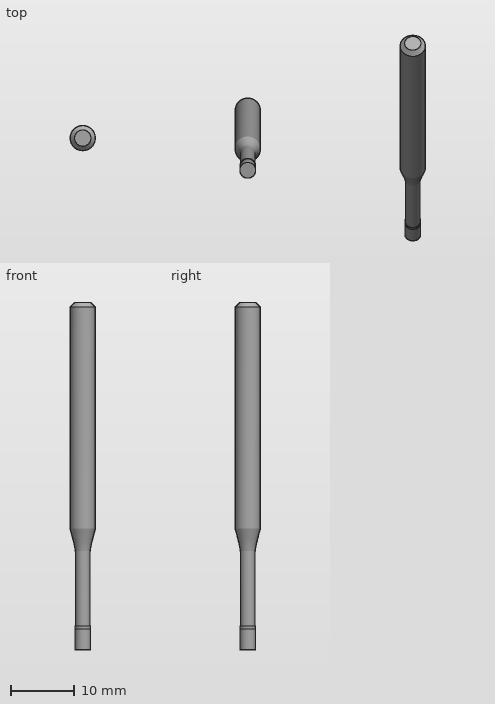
import cadquery as cq
import math

total_length = 55.0
shank_diameter = 4.0
end_chamfer = 0.7

taper_start = 15.55
blend_radius = 13.2
blend_start_angle = math.radians(7)
cone_angle = math.radians(15)

neck_diameter = 2.35
head_diameter = 2.55
head_top = 3.75
cutter_length = 3.3

shank_radius = shank_diameter / 2
neck_radius = neck_diameter / 2
head_radius = head_diameter / 2


def make_cutter():
    """Cylindrical cutting end, below the holder body."""
    return cq.Workplane("XY").circle(head_radius).extrude(cutter_length)


def blend_point(angle):
    """Point on the hollow round where its wall leans outward by the given angle."""
    radius = neck_radius + blend_radius * (math.cos(blend_start_angle) - math.cos(angle))
    height = taper_start + blend_radius * (math.sin(angle) - math.sin(blend_start_angle))
    return radius, height


def make_holder():
    """Shank, taper, neck and collar, revolved from a half profile."""
    cone_start_radius, cone_start = blend_point(cone_angle)
    blend_middle = blend_point((blend_start_angle + cone_angle) / 2)
    shank_start = cone_start + (shank_radius - cone_start_radius) / math.tan(cone_angle)

    profile = (
        cq.Workplane("XZ")
        .moveTo(0, cutter_length)
        .lineTo(head_radius, cutter_length)
        .lineTo(head_radius, head_top)
        .lineTo(neck_radius, head_top)
        .lineTo(neck_radius, taper_start)
        .threePointArc(blend_middle, (cone_start_radius, cone_start))
        .lineTo(shank_radius, shank_start)
        .lineTo(shank_radius, total_length - end_chamfer)
        .lineTo(shank_radius - end_chamfer, total_length)
        .lineTo(0, total_length)
        .close()
    )
    return profile.revolve(360, (0, 0), (0, 1))


cutter = make_cutter()
holder = make_holder()

result = cq.Compound.makeCompound([cutter.val(), holder.val()])